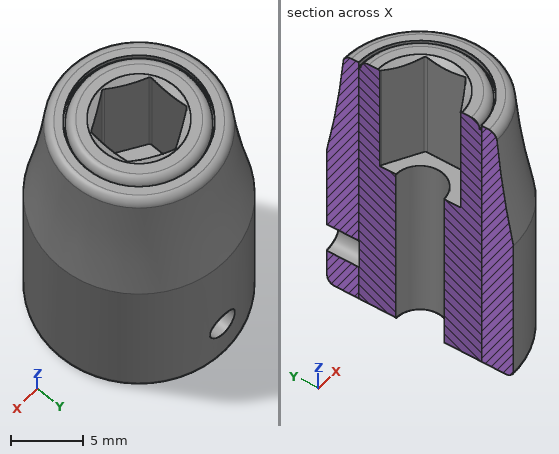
import cadquery as cq
import math

total_height = 23.3
sleeve_radius = 16.0 / 2

skirt_height = 12.95
bottom_fillet = 0.7
taper_top_radius = 6.6
taper_top_height = 22.41
taper_hollow = 0.15
sleeve_height = 23.0
rim_flat_radius = 5.9
rim_bulge = 0.15

side_hole_radius = 1.25
side_hole_height = 4.35

insert_radius = 5.25
nose_radius = 5.1
nose_fillet = 0.72
shoulder_height = total_height - nose_fillet

hex_across_flats = 6.0
hex_corner_radius = 0.23
hex_depth = 9.32
lead_in_radius = 3.59
lead_in_angle = 30
bore_radius = 2.05


def offset_midpoint(start, end, offset):
    """Midpoint of a segment, moved square to it, to the left when the offset is positive."""
    run = end[0] - start[0]
    rise = end[1] - start[1]
    length = math.hypot(run, rise)
    middle_x = (start[0] + end[0]) / 2 - offset * rise / length
    middle_y = (start[1] + end[1]) / 2 + offset * run / length
    return (middle_x, middle_y)


def make_sleeve():
    """Revolved sleeve with a plain bore and a radial hole in one wall."""
    skirt_top = (sleeve_radius, skirt_height)
    taper_top = (taper_top_radius, taper_top_height)
    rim_edge = (rim_flat_radius, sleeve_height)
    profile = (
        cq.Workplane("XZ")
        .moveTo(insert_radius, 0)
        .lineTo(sleeve_radius, 0)
        .lineTo(*skirt_top)
        .threePointArc(offset_midpoint(skirt_top, taper_top, taper_hollow), taper_top)
        .threePointArc(offset_midpoint(taper_top, rim_edge, -rim_bulge), rim_edge)
        .lineTo(insert_radius, sleeve_height)
        .close()
    )
    sleeve = profile.revolve(360, (0, 0, 0), (0, 1, 0))
    sleeve = sleeve.faces("<Z").edges(cq.selectors.RadiusNthSelector(-1)).fillet(bottom_fillet)
    side_hole = cq.Solid.makeCylinder(
        side_hole_radius, sleeve_radius, cq.Vector(0, 0, side_hole_height), cq.Vector(0, 1, 0)
    )
    return sleeve.cut(cq.Workplane(side_hole))


def make_hex_socket():
    """Hexagonal cutter with rounded corners, two of them on the Y axis."""
    across_corners = 2 * hex_across_flats / math.sqrt(3)
    return (
        cq.Workplane("XY", origin=(0, 0, total_height - hex_depth))
        .transformed(rotate=(0, 0, 90))
        .polygon(6, across_corners)
        .extrude(hex_depth)
        .edges("|Z")
        .fillet(hex_corner_radius)
    )


def make_lead_in():
    """Conical cutter that opens the mouth of the socket."""
    depth = lead_in_radius * math.tan(math.radians(lead_in_angle))
    return cq.Workplane(
        cq.Solid.makeCone(0, lead_in_radius, depth, cq.Vector(0, 0, total_height - depth))
    )


def make_insert():
    """Insert with a rounded nose, a hexagonal socket and a through bore."""
    body = cq.Workplane("XY").circle(insert_radius).extrude(shoulder_height)
    nose_base = (nose_radius, shoulder_height)
    nose_top = (nose_radius - nose_fillet, total_height)
    nose_bulge = nose_fillet * (1 - math.sqrt(0.5))
    nose = (
        cq.Workplane("XZ")
        .moveTo(0, shoulder_height)
        .lineTo(*nose_base)
        .threePointArc(offset_midpoint(nose_base, nose_top, -nose_bulge), nose_top)
        .lineTo(0, total_height)
        .close()
        .revolve(360, (0, 0, 0), (0, 1, 0))
    )
    bore = cq.Workplane("XY").circle(bore_radius).extrude(total_height)
    return body.union(nose).cut(make_hex_socket()).cut(make_lead_in()).cut(bore)


sleeve = make_sleeve()
insert = make_insert()
result = cq.Compound.makeCompound([sleeve.solids().val(), insert.solids().val()])